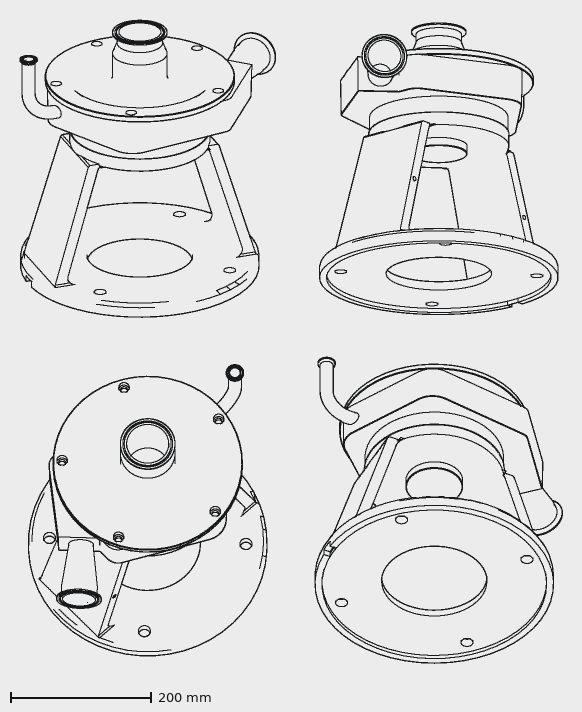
import cadquery as cq
import math

BASE_TOP = 20.0
HUB_BOTTOM = 197.0
HUB_STEP = 216.0
VOLUTE_BOTTOM = 240.0
COVER_BOTTOM = 291.0
COVER_TOP = 300.0
INLET_TOP = 369.0
DRAIN_TOP = 355.5
PORT_AXIS_Z = (VOLUTE_BOTTOM + COVER_BOTTOM) / 2

BASE_RADIUS = 170.0
BASE_OPENING_RADIUS = 75.0
BASE_EDGE_FILLET = 5.0
BASE_RECESS_RADIUS = 160.0
BASE_RECESS_DEPTH = 6.0
BASE_BOLT_CIRCLE = 140.0
BASE_BOLT_DIAMETER = 17.0
BASE_BOLT_COUNT = 4
BASE_BOLT_START = 45.0
NOTCH_WIDTH = 20.0
NOTCH_HEIGHT = 9.0

LEG_HALF_WIDTH_BOTTOM = 60.5
LEG_HALF_WIDTH_TOP = 55.0
LEG_OUTER_Y_BOTTOM = 153.5
LEG_OUTER_Y_TOP = 100.0
LEG_SPAN_Y = 16.7
LEG_FILLET = 10.0
WELD_SIZE = 2.5
HEAD_WELD_WIDTH = 8.0
LEG_HOLE_Z = 107.0
LEG_HOLE_DIAMETER = 6.0
LEG_HOLE_DEPTH = 15.0

HUB_RADIUS = 100.0
HUB_NECK_RADIUS = 98.75
BOSS_RADIUS = 40.5
BOSS_HEIGHT = 12.0
BOSS_CHAMFER = 1.0

FLAT_COUNT = 5
FLAT_DISTANCE = 115.0
OUTLET_DIRECTION = 135.0
LOWER_LEFT_DIRECTION = OUTLET_DIRECTION + 90
OUTLET_SIDE_DIRECTION = 90.0
FREE_CORNER_FILLET = 34.0
OUTLET_SIDE_FILLET = 22.0
TONGUE_FILLET = 16.0
OUTLET_SIDE_Y = 127.0
OUTLET_BACK_DIRECTION = 53.7
OUTLET_TIP = 123.6
VOLUTE_DRAFT = 1.0
VOLUTE_CHAMFER = 0.8

COVER_RADIUS = 135.0
COVER_CHAMFER = 1.0
DISH_RIM_RADIUS = 107.0
DISH_RIM_FILLET = 5.0
DISH_FLOOR_Z = 284.5
DISH_FLOOR_FILLET = 14.0
DISH_WALL_ANGLE = math.radians(45.0)
COVER_BOLT_CIRCLE = 122.0
COVER_BOLT_START = 45.0
COVER_BOLT_DIAMETER = 15.0
COVER_BOLT_DEPTH = COVER_TOP - COVER_BOTTOM
TAP_DRILL_DIAMETER = 10.0
TAP_DRILL_DEPTH = 15.0
DRILL_POINT_ANGLE = math.radians(118.0)

INLET_RADIUS = 39.0
INLET_NECK_RADIUS = 32.5
INLET_BORE_RADIUS = 30.0
INLET_CONE_BOTTOM = 335.5
INLET_CONE_TOP = 352.0
INLET_ROOT_FILLET = 15.0
INLET_FLANGE_RADIUS = 39.0

OUTLET_OFFSET = 91.2
OUTLET_FACE_DISTANCE = 200.0
OUTLET_FLANGE_RADIUS = 32.0
OUTLET_NECK_RADIUS = 25.5
OUTLET_BORE_RADIUS = 23.5
OUTLET_ROOT_RADIUS = 17.7
OUTLET_NECK_LENGTH = 20.5
OUTLET_ROOT_LENGTH = 3.0
OUTLET_EMBED = 2.0
OUTLET_WALL = OUTLET_NECK_RADIUS - OUTLET_BORE_RADIUS

DRAIN_Y = -170.0
DRAIN_RADIUS = 9.5
DRAIN_BORE_RADIUS = 7.5
DRAIN_BEND_RADIUS = 36.0
DRAIN_ROOT_Y = -120.0
DRAIN_FLANGE_RADIUS = 12.5

FLANGE_RIM = 2.0
FLANGE_HEIGHT = 5.0
SEAL_GROOVE_WIDTH = 2.0
SEAL_GROOVE_DEPTH = 1.0


def polar(radius, degrees):
    """Point at a radius and direction from the pump axis."""
    angle = math.radians(degrees)
    return radius * math.cos(angle), radius * math.sin(angle)


def line_crossing(first, second):
    """Crossing of two lines, each given as (normal direction in degrees, distance from the axis)."""
    a1, d1 = math.radians(first[0]), first[1]
    a2, d2 = math.radians(second[0]), second[1]
    det = math.sin(a2 - a1)
    x = (d1 * math.sin(a2) - d2 * math.sin(a1)) / det
    y = (d2 * math.cos(a1) - d1 * math.cos(a2)) / det
    return x, y


def rounded_corner(previous, corner, following, radius):
    """Start, middle and end of the arc that rounds a corner between two straight sides."""
    corner = cq.Vector(*corner)
    to_previous = (cq.Vector(*previous) - corner).normalized()
    to_following = (cq.Vector(*following) - corner).normalized()
    half_angle = to_previous.getAngle(to_following) / 2
    tangent = radius / math.tan(half_angle)
    bisector = (to_previous + to_following).normalized()
    middle = corner + bisector * (radius / math.sin(half_angle) - radius)
    start = corner + to_previous * tangent
    end = corner + to_following * tangent
    return [(point.x, point.y) for point in (start, middle, end)]


def rounded_polygon(plane, corners):
    """Closed outline through (point, rounding radius) corners; radius 0 leaves a corner sharp."""
    outline = None
    for i, (point, radius) in enumerate(corners):
        if radius:
            before, after = corners[i - 1][0], corners[(i + 1) % len(corners)][0]
            start, middle, end = rounded_corner(before, point, after, radius)
        else:
            start = end = point
        outline = plane.moveTo(*start) if outline is None else outline.lineTo(*start)
        if radius:
            outline = outline.threePointArc(middle, end)
    return outline.close()


def cylinder(radius, z_bottom, z_top):
    return cq.Workplane("XY").workplane(offset=z_bottom).circle(radius).extrude(z_top - z_bottom)


def clamp_flange(plane, radius, neck_radius):
    """Clamp flange with a conical back, facing along the plane's normal, face in the plane."""
    profile = [(0, 0), (radius, 0), (radius, -FLANGE_RIM), (neck_radius, -FLANGE_HEIGHT), (0, -FLANGE_HEIGHT)]
    half_section = cq.Workplane("XZ").polyline(profile).close()
    flange = half_section.revolve(360, (0, 0), (0, 1))
    return cq.Workplane(flange.val().located(cq.Location(plane)))


def seal_groove(plane, radius, bore_radius):
    """Ring cut into a clamp flange face, midway between bore and rim."""
    middle = (radius + bore_radius) / 2
    face = cq.Workplane(plane)
    ring = face.circle(middle + SEAL_GROOVE_WIDTH / 2).circle(middle - SEAL_GROOVE_WIDTH / 2)
    return ring.extrude(-SEAL_GROOVE_DEPTH)


def make_base():
    base = cylinder(BASE_RADIUS, 0, BASE_TOP).cut(cylinder(BASE_OPENING_RADIUS, 0, BASE_TOP))
    base = base.faces(">Z").edges().fillet(BASE_EDGE_FILLET)
    base = base.cut(cylinder(BASE_RECESS_RADIUS, 0, BASE_RECESS_DEPTH))
    bolts = cq.Workplane("XY").polarArray(BASE_BOLT_CIRCLE, BASE_BOLT_START, 360, BASE_BOLT_COUNT)
    base = base.cut(bolts.circle(BASE_BOLT_DIAMETER / 2).extrude(BASE_TOP))
    notch_length = BASE_RADIUS - BASE_RECESS_RADIUS
    notch = cq.Workplane("XY").box(NOTCH_WIDTH, 2 * notch_length, 2 * NOTCH_HEIGHT)
    return base.cut(notch.translate((0, -BASE_RADIUS, 0)))


def leg_outer_y(z):
    fraction = (z - BASE_TOP) / (HUB_BOTTOM - BASE_TOP)
    return LEG_OUTER_Y_BOTTOM + fraction * (LEG_OUTER_Y_TOP - LEG_OUTER_Y_BOTTOM)


def make_leg():
    """Leg on the +Y side, leaning in towards the hub, with weld fillets at foot and head."""
    inner_bottom = LEG_OUTER_Y_BOTTOM - LEG_SPAN_Y
    inner_top = LEG_OUTER_Y_TOP - LEG_SPAN_Y
    weld_top = HUB_BOTTOM + WELD_SIZE
    reach = 2 * LEG_SPAN_Y
    foot = rounded_corner(
        (inner_bottom - reach, BASE_TOP), (inner_bottom, BASE_TOP), (inner_top, HUB_BOTTOM), LEG_FILLET
    )
    head = rounded_corner(
        (inner_bottom, BASE_TOP), (inner_top, HUB_BOTTOM), (inner_top - reach, HUB_BOTTOM), LEG_FILLET
    )
    half_width = LEG_HALF_WIDTH_BOTTOM + HEAD_WELD_WIDTH
    side = (
        cq.Workplane("YZ", origin=(-half_width, 0, 0))
        .moveTo(LEG_OUTER_Y_BOTTOM, BASE_TOP)
        .lineTo(*foot[0])
        .threePointArc(foot[1], foot[2])
        .lineTo(*head[0])
        .threePointArc(head[1], head[2])
        .lineTo(inner_top, weld_top)
        .lineTo(LEG_OUTER_Y_TOP - WELD_SIZE, weld_top)
        .lineTo(LEG_OUTER_Y_TOP, HUB_BOTTOM)
        .close()
        .extrude(2 * half_width)
    )
    right_edge = [
        (LEG_HALF_WIDTH_BOTTOM + WELD_SIZE, BASE_TOP),
        (LEG_HALF_WIDTH_BOTTOM, BASE_TOP + WELD_SIZE),
        (LEG_HALF_WIDTH_TOP, HUB_BOTTOM),
        (LEG_HALF_WIDTH_TOP, weld_top),
    ]
    left_edge = [(-x, z) for x, z in reversed(right_edge)]
    front = cq.Workplane("XZ").polyline(right_edge + left_edge).close().extrude(-LEG_OUTER_Y_BOTTOM)

    wedge_edge = [
        (LEG_HALF_WIDTH_TOP + HEAD_WELD_WIDTH, HUB_BOTTOM),
        (LEG_HALF_WIDTH_TOP, HUB_BOTTOM - WELD_SIZE),
    ]
    wedge_mirror = [(-x, z) for x, z in reversed(wedge_edge)]
    wedge = cq.Workplane("XZ").polyline(wedge_edge + wedge_mirror).close().extrude(-inner_top)

    hole_y = leg_outer_y(LEG_HOLE_Z) - LEG_SPAN_Y / 2
    hole = cq.Workplane("YZ", origin=(-LEG_HALF_WIDTH_BOTTOM, hole_y, LEG_HOLE_Z))
    hole = hole.circle(LEG_HOLE_DIAMETER / 2).extrude(LEG_HOLE_DEPTH)
    return side.intersect(front.union(wedge)).cut(hole)


def make_hub():
    hub = cylinder(HUB_RADIUS, HUB_BOTTOM, HUB_STEP).union(cylinder(HUB_NECK_RADIUS, HUB_STEP, VOLUTE_BOTTOM))
    boss = cylinder(BOSS_RADIUS, HUB_BOTTOM - BOSS_HEIGHT, HUB_BOTTOM)
    return hub.union(boss.faces("<Z").edges().chamfer(BOSS_CHAMFER))


def make_volute():
    """Rounded five-sided casing, opened out into a block that carries the outlet."""
    pitch = 360 / FLAT_COUNT
    lower_left = (LOWER_LEFT_DIRECTION, FLAT_DISTANCE)
    lower_right = (LOWER_LEFT_DIRECTION + pitch, FLAT_DISTANCE)
    right = (LOWER_LEFT_DIRECTION + 2 * pitch, FLAT_DISTANCE)
    left = (LOWER_LEFT_DIRECTION - pitch, FLAT_DISTANCE)
    outlet_side = (OUTLET_SIDE_DIRECTION, OUTLET_SIDE_Y)
    outlet_face = (OUTLET_DIRECTION, FLAT_DISTANCE)
    tip = line_crossing(outlet_face, (OUTLET_DIRECTION - 90, OUTLET_TIP))
    back_angle = math.radians(OUTLET_BACK_DIRECTION)
    back_distance = tip[0] * math.cos(back_angle) + tip[1] * math.sin(back_angle)
    back = (OUTLET_BACK_DIRECTION, back_distance)
    corners = [
        (line_crossing(left, lower_left), FREE_CORNER_FILLET),
        (line_crossing(lower_left, lower_right), FREE_CORNER_FILLET),
        (line_crossing(lower_right, right), FREE_CORNER_FILLET),
        (line_crossing(right, back), TONGUE_FILLET),
        (tip, 0),
        (line_crossing(outlet_face, outlet_side), 0),
        (line_crossing(outlet_side, left), OUTLET_SIDE_FILLET),
    ]
    top = cq.Workplane("XY").workplane(offset=COVER_BOTTOM)
    volute = rounded_polygon(top, corners).extrude(VOLUTE_BOTTOM - COVER_BOTTOM, taper=VOLUTE_DRAFT)
    return volute.faces("<Z").edges().chamfer(VOLUTE_CHAMFER)


def make_cover():
    """Flat cover plate with chamfered edges."""
    plate = cylinder(COVER_RADIUS, COVER_BOTTOM, COVER_TOP)
    return plate.edges().chamfer(COVER_CHAMFER)


def make_dish():
    """Ring-shaped hollow between the cover rim and the inlet pipe, reaching below the plate."""
    rise = 1 - math.cos(DISH_WALL_ANGLE)
    run = math.sin(DISH_WALL_ANGLE)
    half = DISH_WALL_ANGLE / 2
    wall_top_r = DISH_RIM_RADIUS - DISH_RIM_FILLET * run
    wall_top_z = COVER_TOP - DISH_RIM_FILLET * rise
    wall_bottom_z = DISH_FLOOR_Z + DISH_FLOOR_FILLET * rise
    wall_bottom_r = wall_top_r - (wall_top_z - wall_bottom_z) / math.tan(DISH_WALL_ANGLE)
    floor_r = wall_bottom_r - DISH_FLOOR_FILLET * run
    rim_mid = (
        DISH_RIM_RADIUS - DISH_RIM_FILLET * math.sin(half),
        COVER_TOP - DISH_RIM_FILLET * (1 - math.cos(half)),
    )
    floor_mid = (
        floor_r + DISH_FLOOR_FILLET * math.sin(half),
        DISH_FLOOR_Z + DISH_FLOOR_FILLET * (1 - math.cos(half)),
    )
    root_mid_step = INLET_ROOT_FILLET * (1 - math.cos(math.pi / 4))
    section = (
        cq.Workplane("XZ")
        .moveTo(DISH_RIM_RADIUS, COVER_TOP)
        .threePointArc(rim_mid, (wall_top_r, wall_top_z))
        .lineTo(wall_bottom_r, wall_bottom_z)
        .threePointArc(floor_mid, (floor_r, DISH_FLOOR_Z))
        .lineTo(INLET_RADIUS + INLET_ROOT_FILLET, DISH_FLOOR_Z)
        .threePointArc(
            (INLET_RADIUS + root_mid_step, DISH_FLOOR_Z + root_mid_step),
            (INLET_RADIUS, DISH_FLOOR_Z + INLET_ROOT_FILLET),
        )
        .lineTo(INLET_RADIUS, COVER_TOP)
        .close()
    )
    return section.revolve(360, (0, 0), (0, 1))


def make_cover_holes():
    """Counterbored, drill-pointed bolt holes, one over each corner of the casing."""
    bore = COVER_BOLT_DIAMETER / 2
    drill = TAP_DRILL_DIAMETER / 2
    point = drill / math.tan(DRILL_POINT_ANGLE / 2)
    profile = [
        (0, 0),
        (bore, 0),
        (bore, -COVER_BOLT_DEPTH),
        (drill, -COVER_BOLT_DEPTH),
        (drill, -TAP_DRILL_DEPTH),
        (0, -TAP_DRILL_DEPTH - point),
    ]
    hole = cq.Workplane("XZ").polyline(profile).close().revolve(360, (0, 0), (0, 1))
    holes = cq.Workplane("XY")
    for i in range(FLAT_COUNT):
        x, y = polar(COVER_BOLT_CIRCLE, COVER_BOLT_START + i * 360 / FLAT_COUNT)
        holes = holes.union(hole.translate((x, y, COVER_TOP)))
    return holes


INLET_PLANE = cq.Plane(origin=(0, 0, INLET_TOP), normal=(0, 0, 1))


def make_inlet():
    profile = [
        (0, DISH_FLOOR_Z),
        (INLET_RADIUS, DISH_FLOOR_Z),
        (INLET_RADIUS, INLET_CONE_BOTTOM),
        (INLET_NECK_RADIUS, INLET_CONE_TOP),
        (INLET_NECK_RADIUS, INLET_TOP),
        (0, INLET_TOP),
    ]
    pipe = cq.Workplane("XZ").polyline(profile).close().revolve(360, (0, 0), (0, 1))
    return pipe.union(clamp_flange(INLET_PLANE, INLET_FLANGE_RADIUS, INLET_NECK_RADIUS))


def make_inlet_hollow():
    bore = cylinder(INLET_BORE_RADIUS, DISH_FLOOR_Z, INLET_TOP)
    return bore.union(seal_groove(INLET_PLANE, INLET_FLANGE_RADIUS, INLET_BORE_RADIUS))


OUTLET_AXIS = cq.Vector(*polar(1, OUTLET_DIRECTION))
OUTLET_ACROSS = cq.Vector(*polar(1, OUTLET_DIRECTION - 90))
OUTLET_FACE_CENTER = (
    OUTLET_AXIS * OUTLET_FACE_DISTANCE + OUTLET_ACROSS * OUTLET_OFFSET + cq.Vector(0, 0, PORT_AXIS_Z)
)
OUTLET_PLANE = cq.Plane(origin=OUTLET_FACE_CENTER.toTuple(), xDir=(0, 0, 1), normal=OUTLET_AXIS.toTuple())
OUTLET_LENGTH = OUTLET_FACE_DISTANCE - FLAT_DISTANCE


def outlet_body(neck_radius, root_radius):
    """Straight neck behind the outlet face, then a cone and a short straight root in the casing wall."""
    profile = [
        (0, 0),
        (neck_radius, 0),
        (neck_radius, -OUTLET_NECK_LENGTH),
        (root_radius, OUTLET_ROOT_LENGTH - OUTLET_LENGTH),
        (root_radius, -OUTLET_LENGTH - OUTLET_EMBED),
        (0, -OUTLET_LENGTH - OUTLET_EMBED),
    ]
    body = cq.Workplane("XZ").polyline(profile).close().revolve(360, (0, 0), (0, 1))
    return cq.Workplane(body.val().located(cq.Location(OUTLET_PLANE)))


def make_outlet():
    pipe = outlet_body(OUTLET_NECK_RADIUS, OUTLET_ROOT_RADIUS)
    return pipe.union(clamp_flange(OUTLET_PLANE, OUTLET_FLANGE_RADIUS, OUTLET_NECK_RADIUS))


def make_outlet_hollow():
    bore = outlet_body(OUTLET_BORE_RADIUS, OUTLET_ROOT_RADIUS - OUTLET_WALL)
    return bore.union(seal_groove(OUTLET_PLANE, OUTLET_FLANGE_RADIUS, OUTLET_BORE_RADIUS))


DRAIN_PLANE = cq.Plane(origin=(0, DRAIN_Y, DRAIN_TOP), normal=(0, 0, 1))


def drain_tube(radius):
    """Round bar that drops from the drain face and bends in to the casing wall."""
    bend_center = (DRAIN_Y + DRAIN_BEND_RADIUS, PORT_AXIS_Z + DRAIN_BEND_RADIUS)
    bend_step = DRAIN_BEND_RADIUS * math.cos(math.pi / 4)
    path = (
        cq.Workplane("YZ")
        .moveTo(DRAIN_Y, DRAIN_TOP)
        .lineTo(DRAIN_Y, bend_center[1])
        .threePointArc(
            (bend_center[0] - bend_step, bend_center[1] - bend_step),
            (bend_center[0], PORT_AXIS_Z),
        )
        .lineTo(DRAIN_ROOT_Y, PORT_AXIS_Z)
    )
    return cq.Workplane(DRAIN_PLANE).circle(radius).sweep(path)


def make_drain():
    flange = clamp_flange(DRAIN_PLANE, DRAIN_FLANGE_RADIUS, DRAIN_RADIUS)
    return drain_tube(DRAIN_RADIUS).union(flange)


def make_drain_hollow():
    groove = seal_groove(DRAIN_PLANE, DRAIN_FLANGE_RADIUS, DRAIN_BORE_RADIUS)
    return drain_tube(DRAIN_BORE_RADIUS).union(groove)


leg = make_leg()
result = make_base()
for solid in [leg, leg.mirror("XZ"), make_hub(), make_volute(), make_cover(), make_outlet(), make_drain()]:
    result = result.union(solid)
result = result.cut(make_dish()).union(make_inlet())
for hollow in [make_inlet_hollow(), make_outlet_hollow(), make_drain_hollow(), make_cover_holes()]:
    result = result.cut(hollow)